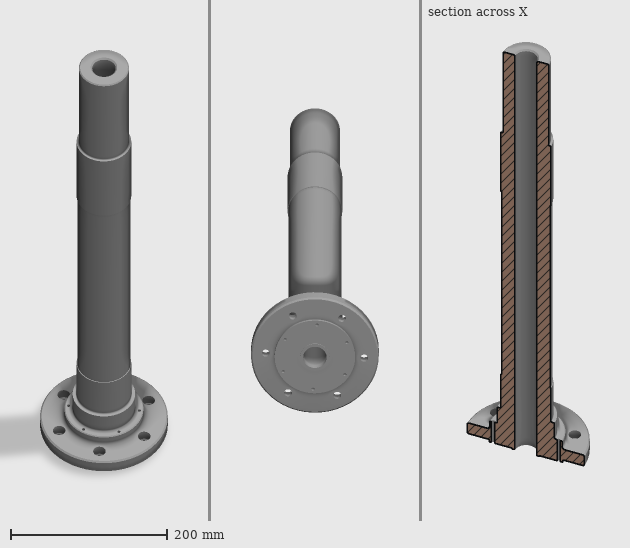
import cadquery as cq
import math

TOTAL_LENGTH = 674.7
FLANGE_DIAMETER = 163.45

END_BOSS_DIAMETER = 38.0
SPIGOT_DIAMETER = 103.0
HUB_DIAMETER = 101.0
SHOULDER_DIAMETER = 80.0
SEAT_DIAMETER = 70.0
BODY_DIAMETER = 68.0
JOURNAL_DIAMETER = 64.0
BORE_DIAMETER = 30.0

SPIGOT_BOTTOM = 1.2
FLANGE_BOTTOM = 5.2
FLANGE_TOP = 24.2
HUB_TOP = 38.0
SHOULDER_TOP = 65.0
LOWER_SEAT_TOP = 122.7
UPPER_SEAT_BOTTOM = 434.7
UPPER_SEAT_TOP = 536.0

FLANGE_CHAMFER = 2.0
HUB_CHAMFER = 1.2
JOURNAL_CHAMFER = 1.5
SHOULDER_FILLET = 1.5
SEAT_FILLET = 1.5
JOURNAL_FILLET = 1.5
BORE_CHAMFER = 2.0
HUB_FILLET = 4.0

BOLT_COUNT = 6
BOLT_CIRCLE_DIAMETER = 126.0
BOLT_HOLE_DIAMETER = 10.0
BOLT_COUNTERBORE_DIAMETER = 16.0
BOLT_COUNTERBORE_DEPTH = 13.0

HUB_HOLE_COUNT = 6
HUB_HOLE_CIRCLE_DIAMETER = 91.0
HUB_HOLE_DIAMETER = 4.0
HUB_HOLE_START_ANGLE = 180.0 / BOLT_COUNT


def disc(diameter, bottom, top):
    """Cylinder on the shaft axis between two heights."""
    return cq.Workplane("XY").workplane(offset=bottom).circle(diameter / 2).extrude(top - bottom)


def polar_cylinders(count, circle_diameter, start_angle, diameter, bottom, top):
    """Ring of vertical cylinders around the shaft axis."""
    return (
        cq.Workplane("XY")
        .workplane(offset=bottom)
        .polarArray(circle_diameter / 2, start_angle, 360, count)
        .circle(diameter / 2)
        .extrude(top - bottom)
    )


def make_flange():
    """Mounting flange with chamfered rims."""
    return disc(FLANGE_DIAMETER, FLANGE_BOTTOM, FLANGE_TOP).edges().chamfer(FLANGE_CHAMFER)


def step(diameter, bottom, top, fillet):
    """Shaft step that flares out through a concave fillet at its foot."""
    radius = diameter / 2
    arc_offset = fillet * (1 - math.sqrt(0.5))
    return (
        cq.Workplane("XZ")
        .moveTo(0, bottom)
        .lineTo(radius + fillet, bottom)
        .threePointArc((radius + arc_offset, bottom + arc_offset), (radius, bottom + fillet))
        .lineTo(radius, top)
        .lineTo(0, top)
        .close()
        .revolve(360, (0, 0, 0), (0, 1, 0))
    )


def make_shaft():
    """Hub and stepped shaft, from the flange up to the top end."""
    hub = step(HUB_DIAMETER, FLANGE_TOP, HUB_TOP, HUB_FILLET)
    hub = hub.faces(">Z").edges().chamfer(HUB_CHAMFER)
    shoulder = step(SHOULDER_DIAMETER, HUB_TOP, SHOULDER_TOP, SHOULDER_FILLET)
    lower_seat = step(SEAT_DIAMETER, SHOULDER_TOP, LOWER_SEAT_TOP, SEAT_FILLET)
    body = disc(BODY_DIAMETER, LOWER_SEAT_TOP, UPPER_SEAT_BOTTOM)
    upper_seat = disc(SEAT_DIAMETER, UPPER_SEAT_BOTTOM, UPPER_SEAT_TOP)
    journal = step(JOURNAL_DIAMETER, UPPER_SEAT_TOP, TOTAL_LENGTH, JOURNAL_FILLET)
    journal = journal.faces(">Z").edges().chamfer(JOURNAL_CHAMFER)
    return hub.union(shoulder).union(lower_seat).union(body).union(upper_seat).union(journal)


def make_bottom():
    """Locating spigot under the flange and the small boss at its centre."""
    spigot = disc(SPIGOT_DIAMETER, SPIGOT_BOTTOM, FLANGE_BOTTOM)
    end_boss = disc(END_BOSS_DIAMETER, 0, SPIGOT_BOTTOM)
    return spigot.union(end_boss)


def make_bore():
    """Through bore with a chamfered mouth at the top."""
    mouth = (
        cq.Workplane("XY")
        .workplane(offset=TOTAL_LENGTH)
        .circle(BORE_DIAMETER / 2 + BORE_CHAMFER)
        .workplane(offset=-BORE_CHAMFER)
        .circle(BORE_DIAMETER / 2)
        .loft()
    )
    return disc(BORE_DIAMETER, 0, TOTAL_LENGTH).union(mouth)


def make_bolt_holes():
    """Counterbored bolt holes through the flange."""
    holes = polar_cylinders(
        BOLT_COUNT, BOLT_CIRCLE_DIAMETER, 0, BOLT_HOLE_DIAMETER, FLANGE_BOTTOM, FLANGE_TOP
    )
    counterbores = polar_cylinders(
        BOLT_COUNT,
        BOLT_CIRCLE_DIAMETER,
        0,
        BOLT_COUNTERBORE_DIAMETER,
        FLANGE_TOP - BOLT_COUNTERBORE_DEPTH,
        HUB_TOP,
    )
    return holes.union(counterbores)


def make_hub_holes():
    """Small holes through the hub, flange and spigot."""
    return polar_cylinders(
        HUB_HOLE_COUNT, HUB_HOLE_CIRCLE_DIAMETER, HUB_HOLE_START_ANGLE, HUB_HOLE_DIAMETER, 0, HUB_TOP
    )


solid_body = make_bottom().union(make_flange()).union(make_shaft())
result = solid_body.cut(make_bore()).cut(make_bolt_holes()).cut(make_hub_holes())